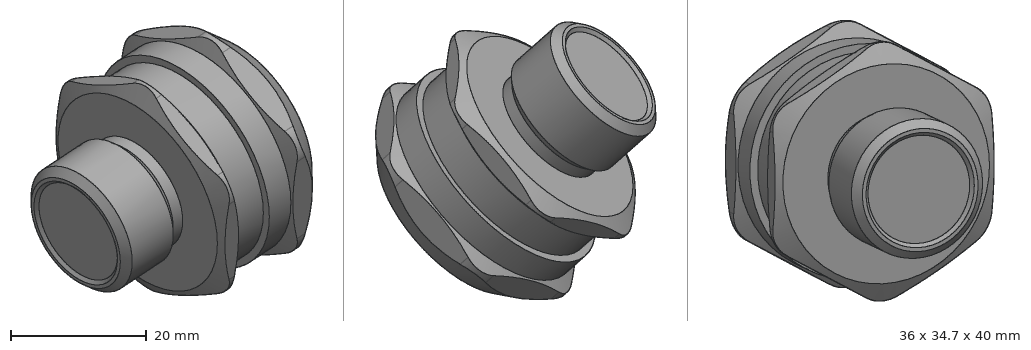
import cadquery as cq
import math

thread_start = 11.0
flange_start = 13.0
flange_end = 17.0
collar_start = 22.65
cap_start = 27.17
total_length = 34.65

thread_diameter = 20.97
neck_diameter = 18.65
body_diameter = 33.0
collar_diameter = 35.5
cap_end_diameter = 29.55
recess_mouth_diameter = 17.3
recess_floor_diameter = 16.25

cap_across_flats = 36.0
cap_across_corners = 40.0
flange_across_flats = 35.0
flange_across_corners = 38.95

tip_chamfer = 1.25
recess_depth = 0.52
nut_chamfer_slope = math.tan(math.radians(30))


def revolve_about_y(profile):
    """Turn a closed (radius, y) outline about the Y axis."""
    return cq.Workplane("XY").polyline(profile).close().revolve(360, (0, 0, 0), (0, 1, 0))


def rounded_hexagon(across_flats, across_corners, start, end):
    """Hexagonal prism along Y, flats facing X, corners rounded to across_corners."""
    sharp_corners = across_flats / math.cos(math.pi / 6)
    corner_radius = (sharp_corners - across_corners) / 2 / (1 / math.cos(math.pi / 6) - 1)
    return (
        cq.Workplane("XZ", origin=(0, start, 0))
        .transformed(rotate=(0, 0, 30))
        .polygon(6, sharp_corners)
        .extrude(start - end)
        .edges("|Y")
        .fillet(corner_radius)
    )


def make_cap():
    """Cap nut with a shallow cone on the front and a 45 degree cone on the back."""
    front_radius = collar_diameter / 2
    back_radius = cap_end_diameter / 2
    outer_radius = cap_across_flats / math.sqrt(3)
    cones = revolve_about_y([
        (0, cap_start),
        (front_radius, cap_start),
        (outer_radius, cap_start + (outer_radius - front_radius) * nut_chamfer_slope),
        (outer_radius, total_length - (outer_radius - back_radius)),
        (back_radius, total_length),
        (0, total_length),
    ])
    hexagon = rounded_hexagon(cap_across_flats, cap_across_corners, cap_start, total_length)
    return hexagon.intersect(cones)


def make_flange():
    """Hexagonal flange with the same cone on both faces."""
    face_radius = body_diameter / 2
    outer_radius = flange_across_corners / 2
    cone_height = (outer_radius - face_radius) * nut_chamfer_slope
    cones = revolve_about_y([
        (0, flange_start),
        (face_radius, flange_start),
        (outer_radius, flange_start + cone_height),
        (outer_radius, flange_end - cone_height),
        (face_radius, flange_end),
        (0, flange_end),
    ])
    hexagon = rounded_hexagon(flange_across_flats, flange_across_corners, flange_start, flange_end)
    return hexagon.intersect(cones)


def make_turned_core():
    """Threaded end with its recess, undercut neck, body and collar."""
    thread_radius = thread_diameter / 2
    neck_radius = neck_diameter / 2
    body_radius = body_diameter / 2
    collar_radius = collar_diameter / 2
    return revolve_about_y([
        (0, recess_depth),
        (recess_floor_diameter / 2, recess_depth),
        (recess_mouth_diameter / 2, 0),
        (thread_radius - tip_chamfer, 0),
        (thread_radius, tip_chamfer),
        (thread_radius, thread_start - (thread_radius - neck_radius)),
        (neck_radius, thread_start),
        (neck_radius, flange_start),
        (body_radius, flange_start),
        (body_radius, collar_start),
        (collar_radius, collar_start),
        (collar_radius, cap_start),
        (0, cap_start),
    ])


result = make_turned_core().union(make_flange()).union(make_cap())